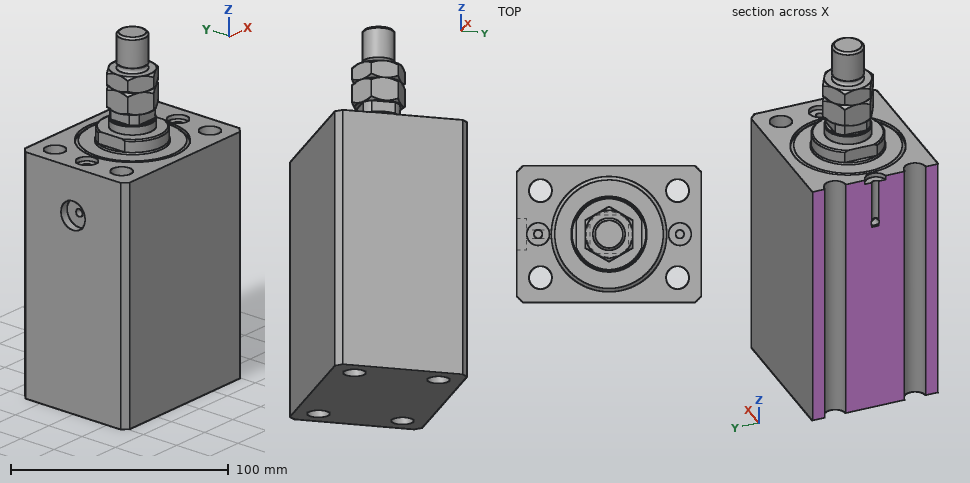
import cadquery as cq
import math

HOUSING_X = 85.0
HOUSING_Y = 63.0
HOUSING_HEIGHT = 123.0
HOUSING_CHAMFER = 3.0

BOLT_SPACING_X = 63.0
BOLT_SPACING_Y = 40.0
BOLT_HOLE_D = 10.5

TOP_PORT_OFFSET = 32.5
TOP_PORT_D = 10.5
TOP_PORT_DEPTH = 2.1
SIDE_PORT_D = 14.5
SIDE_PORT_DEPTH = 4.5
SIDE_PORT_BELOW_TOP = 24.0
DRILLING_D = 3.9

GLAND_D = 53.1
GLAND_DEPTH = 35.4
GLAND_CHAMFER = 1.6
LIP_D = 34.9
LIP_HEIGHT = 0.9
NECK_D = 34.0
NECK_TOP = 7.0
NECK_CHAMFER = 0.7
NECK_FLATS = 30.0
ROD_D = 22.0
ROD_CHAMFER = 0.5
COLLAR_TOP = 11.7
WRENCH_SQUARE = 17.7
STUD_D = 14.9
STUD_LENGTH = 15.2
STUD_CHAMFER = 1.0
RELIEF_FILLET = 1.2
RELIEF_LENGTH = 2.7

NUT_FLATS = 22.0
NUT_HEIGHT = 11.0
THIN_NUT_HEIGHT = 8.1
NUT_CHAMFER_ANGLE = 40.0

TOTAL_HEIGHT = 177.0

neck_top_z = HOUSING_HEIGHT + NECK_TOP
collar_top_z = HOUSING_HEIGHT + COLLAR_TOP
stud_bottom_z = TOTAL_HEIGHT - STUD_LENGTH
thin_nut_top_z = stud_bottom_z - RELIEF_LENGTH
thin_nut_z = thin_nut_top_z - THIN_NUT_HEIGHT
nut_z = thin_nut_z - NUT_HEIGHT
gland_bottom_z = HOUSING_HEIGHT - GLAND_DEPTH
port_z = HOUSING_HEIGHT - SIDE_PORT_BELOW_TOP


def cylinder(diameter, bottom, top):
    return cq.Workplane("XY").workplane(offset=bottom).circle(diameter / 2).extrude(top - bottom)


def make_housing():
    block = (
        cq.Workplane("XY")
        .box(HOUSING_X, HOUSING_Y, HOUSING_HEIGHT, centered=(True, True, False))
        .edges("|Z")
        .chamfer(HOUSING_CHAMFER)
    )
    bolt_holes = (
        cq.Workplane("XY")
        .rect(BOLT_SPACING_X, BOLT_SPACING_Y, forConstruction=True)
        .vertices()
        .circle(BOLT_HOLE_D / 2)
        .extrude(HOUSING_HEIGHT)
    )
    gland_bore = cylinder(GLAND_D, gland_bottom_z, HOUSING_HEIGHT)
    block = block.cut(bolt_holes).cut(gland_bore)

    for port_x in (-TOP_PORT_OFFSET, TOP_PORT_OFFSET):
        recess = cylinder(TOP_PORT_D, HOUSING_HEIGHT - TOP_PORT_DEPTH, HOUSING_HEIGHT)
        drilling = cylinder(DRILLING_D, port_z - DRILLING_D / 2, HOUSING_HEIGHT)
        block = block.cut(recess.union(drilling).translate((port_x, 0, 0)))

    side_face = cq.Workplane("YZ", origin=(-HOUSING_X / 2, 0, port_z))
    side_recess = side_face.circle(SIDE_PORT_D / 2).extrude(SIDE_PORT_DEPTH)
    side_drilling = side_face.circle(DRILLING_D / 2).extrude(HOUSING_X / 2)
    return block.cut(side_recess).cut(side_drilling)


def core_profile():
    """Half section of the core on the -X side of the axis, from the gland up to the stud tip."""
    gland_r = GLAND_D / 2
    lip_r = LIP_D / 2
    neck_r = NECK_D / 2
    rod_r = ROD_D / 2
    stud_r = STUD_D / 2
    relief_r = stud_r - RELIEF_FILLET
    arc_offset = RELIEF_FILLET * (1 - math.sqrt(0.5))
    return (
        cq.Workplane("XZ")
        .moveTo(0, gland_bottom_z)
        .lineTo(-gland_r, gland_bottom_z)
        .lineTo(-gland_r, HOUSING_HEIGHT - GLAND_CHAMFER)
        .lineTo(-gland_r + GLAND_CHAMFER, HOUSING_HEIGHT)
        .lineTo(-lip_r, HOUSING_HEIGHT)
        .lineTo(-neck_r, HOUSING_HEIGHT + LIP_HEIGHT)
        .lineTo(-neck_r, neck_top_z - NECK_CHAMFER)
        .lineTo(-neck_r + NECK_CHAMFER, neck_top_z)
        .lineTo(-rod_r, neck_top_z)
        .lineTo(-rod_r, collar_top_z - ROD_CHAMFER)
        .lineTo(-rod_r + ROD_CHAMFER, collar_top_z)
        .lineTo(-rod_r + ROD_CHAMFER, nut_z)
        .lineTo(-stud_r, nut_z)
        .lineTo(-stud_r, thin_nut_top_z)
        .threePointArc(
            (-relief_r - arc_offset, thin_nut_top_z + arc_offset),
            (-relief_r, thin_nut_top_z + RELIEF_FILLET),
        )
        .lineTo(-relief_r, stud_bottom_z - RELIEF_FILLET)
        .threePointArc(
            (-relief_r - arc_offset, stud_bottom_z - arc_offset),
            (-stud_r, stud_bottom_z),
        )
        .lineTo(-stud_r, TOTAL_HEIGHT - STUD_CHAMFER)
        .lineTo(-stud_r + STUD_CHAMFER, TOTAL_HEIGHT)
        .lineTo(0, TOTAL_HEIGHT)
        .close()
    )


def outside_of_flats(size_x, size_y, bottom, top):
    """Material to remove around a rectangle to leave wrench flats between two levels."""
    stock = cylinder(GLAND_D, bottom, top)
    kept = cq.Workplane("XY").workplane(offset=bottom).rect(size_x, size_y).extrude(top - bottom)
    return stock.cut(kept)


def make_core():
    turned = core_profile().revolve(360, (0, 0, 0), (0, 1, 0))
    neck_cut = outside_of_flats(NECK_FLATS, GLAND_D, HOUSING_HEIGHT + LIP_HEIGHT, neck_top_z)
    square_cut = outside_of_flats(WRENCH_SQUARE, WRENCH_SQUARE, collar_top_z, nut_z)
    return turned.cut(neck_cut).cut(square_cut)


def make_nut(bottom, height):
    """Hexagon nut with corners on the Y axis and conical chamfers on both faces."""
    corner_r = NUT_FLATS / math.sqrt(3)
    face_r = NUT_FLATS / 2
    drop = (corner_r - face_r) * math.tan(math.radians(NUT_CHAMFER_ANGLE))
    hexagon = cq.Workplane("XY").polygon(6, 2 * corner_r).extrude(height).rotate((0, 0, 0), (0, 0, 1), 90)
    chamfered_blank = (
        cq.Workplane("XZ")
        .moveTo(0, 0)
        .lineTo(face_r, 0)
        .lineTo(corner_r, drop)
        .lineTo(corner_r, height - drop)
        .lineTo(face_r, height)
        .lineTo(0, height)
        .close()
        .revolve(360, (0, 0, 0), (0, 1, 0))
    )
    bore = cylinder(STUD_D, 0, height)
    return hexagon.intersect(chamfered_blank).cut(bore).translate((0, 0, bottom))


housing = make_housing()
core = make_core()
nut_places = ((nut_z, NUT_HEIGHT), (thin_nut_z, THIN_NUT_HEIGHT))
nuts = [make_nut(bottom, height) for bottom, height in nut_places]

result = cq.Compound.makeCompound([housing.val(), core.val(), *[nut.val() for nut in nuts]])